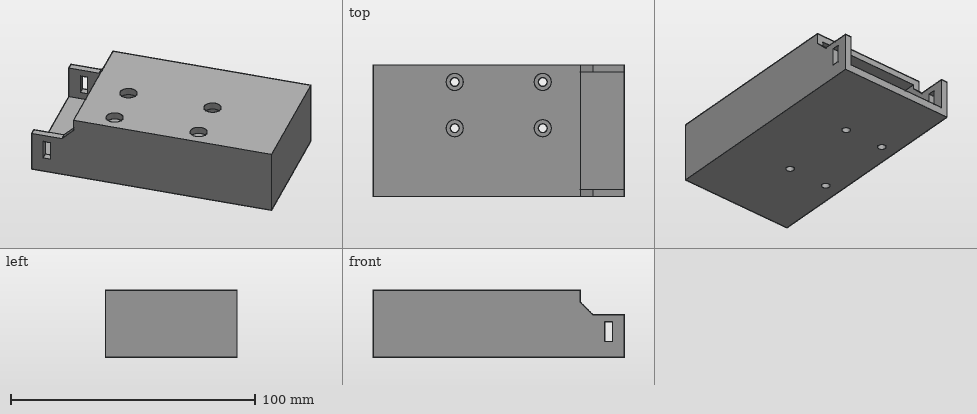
import cadquery as cq

length = 103.0
width = 54.0
height = 27.5
wall = 3.0
floor = 3.5
inner_width = width - 2 * wall

roof_length = 85.0
ear_height = 17.5
step_chamfer = 5.0

slot_width = 3.1
slot_height = 8.0
slot_end_margin = 4.9
slot_top_margin = 3.0

screw_diameter = 3.5
access_diameter = 7.0
screw_pitch_x = 36.0
screw_pitch_y = 19.0
screw_edge_margin = 7.0

BOX_CENTRING = (False, True, False)


def make_side_profile():
    """Solid block with the stepped, chamfered +X end."""
    outline = [
        (0, 0),
        (length, 0),
        (length, ear_height),
        (roof_length + step_chamfer, ear_height),
        (roof_length, ear_height + step_chamfer),
        (roof_length, height),
        (0, height),
    ]
    return cq.Workplane("XZ").polyline(outline).close().extrude(width / 2, both=True)


def make_cavity():
    """Inner space, closed at -X and open at +X."""
    inner_height = height - floor - wall
    cavity = cq.Workplane("XY").box(length - wall, inner_width, inner_height, centered=BOX_CENTRING)
    return cavity.translate((wall, 0, floor))


def make_end_opening():
    """Gap between the ears, clear of the roof and open to the top."""
    opening = cq.Workplane("XY").box(length - roof_length, inner_width, height - floor, centered=BOX_CENTRING)
    return opening.translate((roof_length, 0, floor))


def make_ear_slot():
    """Upright slot running across both ears."""
    slot_x = length - slot_end_margin - slot_width / 2
    slot_z = ear_height - slot_top_margin - slot_height / 2
    return cq.Workplane("XY").box(slot_width, width, slot_height).translate((slot_x, 0, slot_z))


def make_holes(diameter, bottom, depth):
    """Four vertical holes of the given depth, rising from the given height."""
    pattern_y = width / 2 - screw_edge_margin - screw_pitch_y / 2
    return (
        cq.Workplane("XY", origin=(length / 2, pattern_y, bottom))
        .rarray(screw_pitch_x, screw_pitch_y, 2, 2)
        .circle(diameter / 2)
        .extrude(depth)
    )


result = (
    make_side_profile()
    .cut(make_cavity())
    .cut(make_end_opening())
    .cut(make_ear_slot())
    .cut(make_holes(screw_diameter, 0, floor))
    .cut(make_holes(access_diameter, height - wall, wall))
)